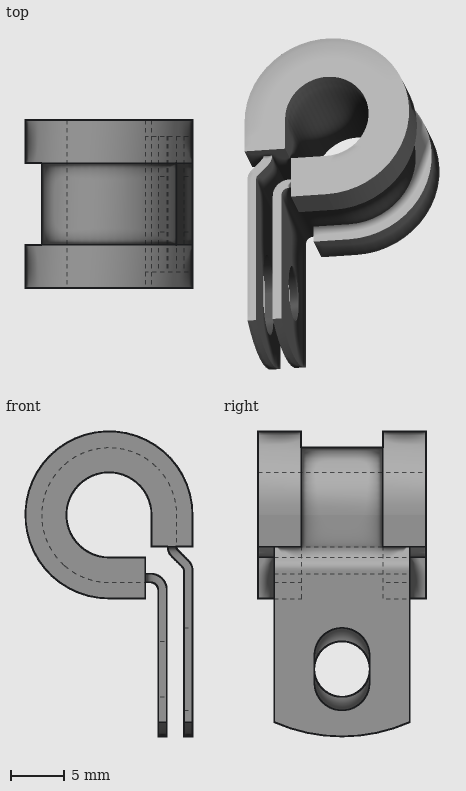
import cadquery as cq
import math

overall_height = 28.57
cushion_radius = 7.83
bore_radius = 3.97
cushion_width = 15.75
side_leg_length = 2.97
bottom_leg_length = 3.4

strap_radius = 6.3
strap_thickness = 0.83
strap_width = 12.69
groove_width = 7.65

tab_gap = 1.57
tab_bottom = cushion_radius - overall_height
tab_end_rise = 1.35
hole_diameter = 5.17
hole_height = -14.43
slot_length = 7.7
corner_bend_radius = 1.15
jog_bend_radius = 0.85

strap_mid_radius = strap_radius - strap_thickness / 2
outer_tab_x = cushion_radius - strap_thickness / 2
inner_tab_x = outer_tab_x - strap_thickness - tab_gap


def loop(outer_radius, width):
    """Three-quarter loop with a straight leg at each end, centred on Y."""
    half_diagonal = math.sqrt(0.5)
    return (
        cq.Workplane("XZ")
        .moveTo(bottom_leg_length, -outer_radius)
        .lineTo(0, -outer_radius)
        .threePointArc((-outer_radius * half_diagonal, outer_radius * half_diagonal), (outer_radius, 0))
        .lineTo(outer_radius, -side_leg_length)
        .lineTo(bore_radius, -side_leg_length)
        .lineTo(bore_radius, 0)
        .threePointArc((-bore_radius * half_diagonal, bore_radius * half_diagonal), (0, -bore_radius))
        .lineTo(bottom_leg_length, -bore_radius)
        .close()
        .extrude(width / 2, both=True)
    )


def bent_tab(tab_x, path):
    """Strap section swept from the tab's free end up along its centreline."""
    profile = cq.Workplane("XY", origin=(tab_x, 0, tab_bottom)).rect(strap_thickness, strap_width)
    return profile.sweep(path)


def inner_tab():
    """Tab turned down from the bottom leg by a right-angle bend."""
    path = (
        cq.Workplane("XZ")
        .moveTo(inner_tab_x, tab_bottom)
        .lineTo(inner_tab_x, -strap_mid_radius - corner_bend_radius)
        .tangentArcPoint((inner_tab_x - corner_bend_radius, -strap_mid_radius), relative=False)
        .lineTo(bottom_leg_length, -strap_mid_radius)
    )
    return bent_tab(inner_tab_x, path)


def outer_tab():
    """Tab that jogs outward at 45 degrees just below the side leg."""
    bend_shift = jog_bend_radius * (1 - math.cos(math.pi / 4))
    bend_drop = jog_bend_radius * math.sin(math.pi / 4)
    slope_run = outer_tab_x - strap_mid_radius - 2 * bend_shift
    jog_bottom = -side_leg_length - 2 * bend_drop - slope_run
    path = (
        cq.Workplane("XZ")
        .moveTo(outer_tab_x, tab_bottom)
        .lineTo(outer_tab_x, jog_bottom)
        .tangentArcPoint((-bend_shift, bend_drop))
        .line(-slope_run, slope_run)
        .tangentArcPoint((-bend_shift, bend_drop))
    )
    return bent_tab(outer_tab_x, path)


def tab_envelope():
    """Rounded-end outline shared by both tabs, with the round bolt hole."""
    half_width = strap_width / 2
    return (
        cq.Workplane("YZ")
        .moveTo(-half_width, 0)
        .lineTo(-half_width, tab_bottom + tab_end_rise)
        .threePointArc((0, tab_bottom), (half_width, tab_bottom + tab_end_rise))
        .lineTo(half_width, 0)
        .close()
        .moveTo(0, hole_height)
        .circle(hole_diameter / 2)
        .extrude(cushion_radius)
    )


def adjustment_slot():
    """Vertical slot that lengthens the bolt hole in the outer tab only."""
    return (
        cq.Workplane("YZ", origin=(outer_tab_x, 0, hole_height))
        .slot2D(slot_length, hole_diameter, 90)
        .extrude(strap_thickness, both=True)
    )


groove = loop(cushion_radius, groove_width).cut(loop(strap_radius, groove_width))
body = loop(cushion_radius, cushion_width).cut(groove)
tabs = inner_tab().union(outer_tab().cut(adjustment_slot())).intersect(tab_envelope())
result = body.union(tabs)